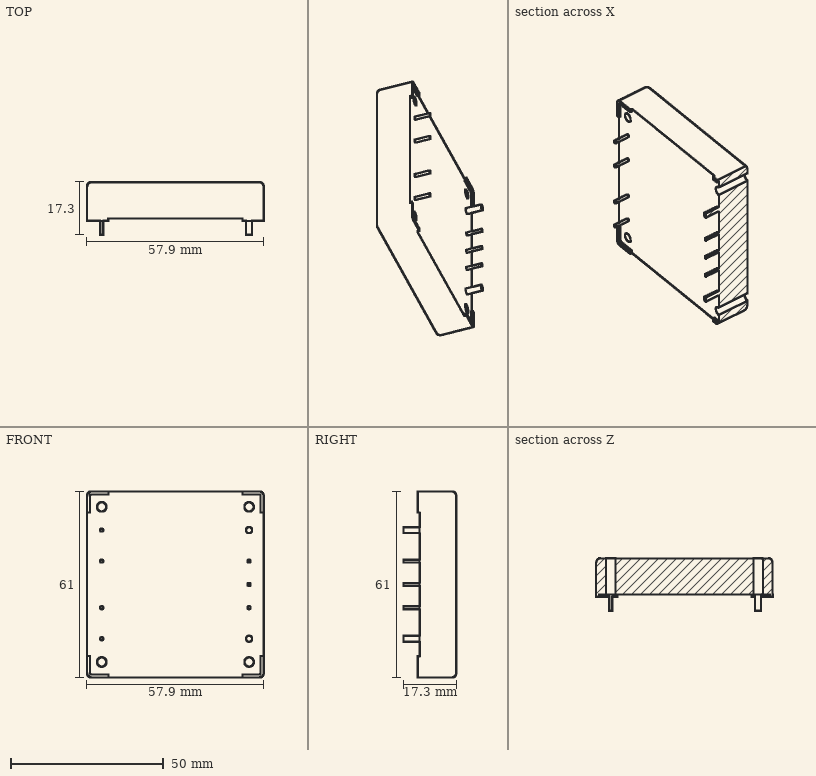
import cadquery as cq

CASE_WIDTH = 57.9
CASE_HEIGHT = 61.0
TOTAL_DEPTH = 17.3
CASE_DEPTH = 12.7
EDGE_RADIUS = 1.5

FOOT_HEIGHT = 0.7
FOOT_LENGTH = 7.0
FOOT_WALL = 1.0
FOOT_INNER_RADIUS = 0.5

PITCH = 2.54
COLUMN_X = 9.5 * PITCH
HOLE_Z = 10 * PITCH
HOLE_DIAMETER = 3.0
OUTER_PIN_Z = 7 * PITCH
INNER_PIN_Z = 3 * PITCH
THIN_PIN_DIAMETER = 1.02
THICK_PIN_DIAMETER = 2.03

BACK_Y = CASE_DEPTH
PIN_FACE_Y = FOOT_HEIGHT
PIN_TIP_Y = CASE_DEPTH - TOTAL_DEPTH

THIN_PIN_CENTRES = [
    (-COLUMN_X, OUTER_PIN_Z),
    (-COLUMN_X, INNER_PIN_Z),
    (-COLUMN_X, -INNER_PIN_Z),
    (-COLUMN_X, -OUTER_PIN_Z),
    (COLUMN_X, INNER_PIN_Z),
    (COLUMN_X, 0),
    (COLUMN_X, -INNER_PIN_Z),
]
THICK_PIN_CENTRES = [(COLUMN_X, OUTER_PIN_Z), (COLUMN_X, -OUTER_PIN_Z)]


def face_plane(y):
    """Work plane across the part at depth y, with X right, Z up and normal -Y."""
    return cq.Workplane("XZ", origin=(0, y, 0))


def make_case():
    """Block with rounded side corners and a rounded back rim."""
    block = face_plane(BACK_Y).rect(CASE_WIDTH, CASE_HEIGHT).extrude(CASE_DEPTH)
    return block.edges("|Y").fillet(EDGE_RADIUS).faces(">Y").edges().fillet(EDGE_RADIUS)


def make_foot_relief():
    """Material removed from the front of the case to leave only the corner feet."""
    inner = (
        face_plane(PIN_FACE_Y)
        .rect(CASE_WIDTH - 2 * FOOT_WALL, CASE_HEIGHT - 2 * FOOT_WALL)
        .extrude(FOOT_HEIGHT)
        .edges("|Y")
        .fillet(FOOT_INNER_RADIUS)
    )
    width_gap = CASE_WIDTH - 2 * FOOT_LENGTH
    height_gap = CASE_HEIGHT - 2 * FOOT_LENGTH
    upright_gap = face_plane(PIN_FACE_Y).rect(width_gap, CASE_HEIGHT).extrude(FOOT_HEIGHT)
    level_gap = face_plane(PIN_FACE_Y).rect(CASE_WIDTH, height_gap).extrude(FOOT_HEIGHT)
    return inner.union(upright_gap).union(level_gap)


def make_mounting_holes():
    """Four through holes near the corners."""
    return (
        face_plane(BACK_Y)
        .rect(2 * COLUMN_X, 2 * HOLE_Z, forConstruction=True)
        .vertices()
        .circle(HOLE_DIAMETER / 2)
        .extrude(CASE_DEPTH)
    )


def make_pins(centres, diameter):
    """Round pins standing on the pin face."""
    pin_length = PIN_FACE_Y - PIN_TIP_Y
    return face_plane(PIN_FACE_Y).pushPoints(centres).circle(diameter / 2).extrude(pin_length)


result = (
    make_case()
    .cut(make_foot_relief())
    .cut(make_mounting_holes())
    .union(make_pins(THIN_PIN_CENTRES, THIN_PIN_DIAMETER))
    .union(make_pins(THICK_PIN_CENTRES, THICK_PIN_DIAMETER))
)